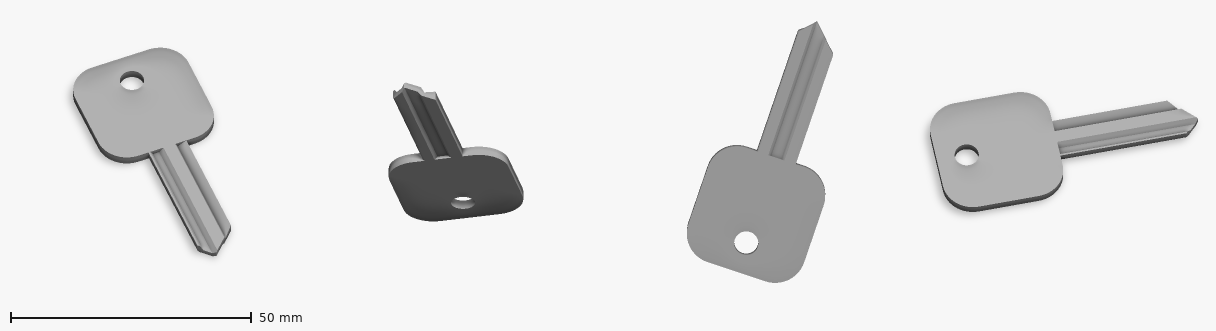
import cadquery as cq
import math

length = 55.2
thickness = 2.0
bow_size = 25.4
corner_radius = bow_size / 4
hole_diameter = 5.0
hole_x = bow_size / 4

blade_back = 4.4
blade_front = -4.1
tip_y = -1.0
vee_bottom = 2.5
ridge_back = 1.95
ridge_front = -0.7
floor_back = -1.7
floor_front = -3.05
rim_back = -3.7
edge_radius = 0.5

upper_floor = thickness / 2
lower_floor = 0.65

lower_front = -1.6
lower_back = ridge_back


def make_bow():
    plate = cq.Workplane("XY").rect(bow_size, bow_size).extrude(thickness)
    plate = plate.edges("|Z").fillet(corner_radius).translate((bow_size / 2, 0, 0))
    hole = cq.Workplane("XY").center(hole_x, 0).circle(hole_diameter / 2).extrude(thickness)
    return plate.cut(hole)


def make_blade():
    upper_side = [
        (blade_back, 0),
        (blade_back, thickness),
        (vee_bottom, upper_floor),
        (ridge_back, thickness),
        (ridge_front, thickness),
        (floor_back, upper_floor),
        (floor_front, upper_floor),
        (rim_back, thickness),
        (blade_front, thickness),
        (blade_front, edge_radius),
    ]
    lower_side = [
        (lower_front, 0),
        (lower_front + lower_floor, lower_floor),
        (lower_back - lower_floor, lower_floor),
        (lower_back, 0),
    ]
    arc_inset = edge_radius * (1 - math.sqrt(0.5))
    section = (
        cq.Workplane("YZ", origin=(bow_size, 0, 0))
        .polyline(upper_side)
        .threePointArc((blade_front + arc_inset, arc_inset), (blade_front + edge_radius, 0))
        .polyline(lower_side, includeCurrent=True)
        .close()
    )
    bar = section.extrude(length - bow_size)
    return bar.intersect(make_tip_outline())


def make_tip_outline():
    """Plan outline of the blade, ending in a point with two 45 degree sides."""
    outline = [
        (bow_size, blade_front),
        (length - (tip_y - blade_front), blade_front),
        (length, tip_y),
        (length - (blade_back - tip_y), blade_back),
        (bow_size, blade_back),
    ]
    return cq.Workplane("XY").polyline(outline).close().extrude(thickness)


result = make_bow().union(make_blade())